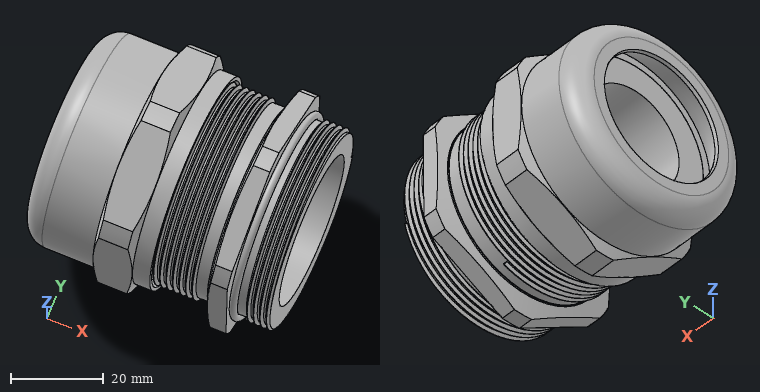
import cadquery as cq
import math

pitch_down = 0.0135
yaw_right = 0.0185

across_flats = 50.2
hex_corner_diameter = 55.3

cap_diameter = 50.0
cap_nose_radius = 5.4
cap_hex_start = 17.4
cap_hex_end = 26.7
cap_end = 30.8
cap_chamfer_angle = 24.0
opening_diameter = 33.2
lip_diameter = 32.78
lip_length = 0.9
cap_cavity_diameter = 45.25
cap_cone_diameter = 44.3
cap_cone_end = 8.85
cap_thread_bore = 48.07

cage_diameter = 45.15
cage_bore = 40.42
seal_diameter = 40.3
seal_bore = 26.26
seal_end = 29.0

body_start = 18.5
body_core_diameter = 45.27
body_socket_diameter = 40.9
body_bore = 35.33
body_end = 58.1
body_hex_start = 43.75
body_hex_end = 48.95
body_chamfer_angle = 15.0
collar_diameter = 45.69
collar_length = 0.35

thread_diameter = 47.0
thread_pitch = 1.52
thread_root_width = 1.2
thread_crest_width = 0.12
thread_root_sink = 0.15
cap_side_thread = (29.86, 40.6, 0)
end_thread = (51.65, 58.3, -60)

ring_section = 1.8


def rod(diameter, start, end):
    return cq.Workplane("YZ", origin=(start, 0, 0)).circle(diameter / 2).extrude(end - start)


def turned(points):
    """Solid of revolution about X from (x, radius) points."""
    return cq.Workplane("XY").polyline(points).close().revolve(360, (0, 0, 0), (1, 0, 0))


def hexagon(start, end):
    """Hexagon with flats on the Y sides and its corners turned down to a cylinder."""
    prism = cq.Workplane("YZ", origin=(start, 0, 0)).polygon(6, across_flats / math.cos(math.pi / 6))
    prism = prism.extrude(end - start).rotate((0, 0, 0), (1, 0, 0), 30)
    return prism.intersect(rod(hex_corner_diameter, start, end))


def chamfer_depth(inner_diameter, angle):
    return (hex_corner_diameter - inner_diameter) / 2 * math.tan(math.radians(angle))


def chamfer_cone(inner_diameter, angle, start, end, chamfer_end):
    """Envelope that chamfers a hexagon's corners at its start and, if asked, at its end."""
    depth = chamfer_depth(inner_diameter, angle)
    corner = hex_corner_diameter / 2
    end_points = [(end, corner)]
    if chamfer_end:
        end_points = [(end - depth, corner), (end, inner_diameter / 2)]
    return turned([(start, 0), (start, inner_diameter / 2), (start + depth, corner), *end_points, (end, 0)])


def thread_ridge(first, last, start_angle):
    """Right-hand helical ridge with its root sunk into the body core, cut off at the body's end."""
    root = body_core_diameter / 2 - thread_root_sink
    crest = thread_diameter / 2
    helix = cq.Wire.makeHelix(thread_pitch, last - first, root)
    half_root = thread_root_width / 2
    half_crest = thread_crest_width / 2
    profile = [(root, -half_root), (crest, -half_crest), (crest, half_crest), (root, half_root)]
    ridge = cq.Workplane("XZ").polyline(profile).close().sweep(cq.Workplane(obj=helix), isFrenet=True)
    ridge = ridge.rotate((0, 0, 0), (0, 0, 1), start_angle).rotate((0, 0, 0), (0, 1, 0), 90)
    return ridge.translate((first, 0, 0)).intersect(rod(across_flats, body_start, body_end))


def make_cap():
    shell = rod(cap_diameter, 0, cap_end).faces("<X").edges().fillet(cap_nose_radius)
    nut = hexagon(cap_hex_start, cap_hex_end).intersect(
        chamfer_cone(cap_diameter, cap_chamfer_angle, cap_hex_start, cap_hex_end, True)
    )
    inside = turned([
        (0, 0),
        (0, opening_diameter / 2),
        (lip_length, lip_diameter / 2),
        (cap_cone_end, cap_cone_diameter / 2),
        (cap_cone_end, cap_cavity_diameter / 2),
        (body_start, cap_cavity_diameter / 2),
        (body_start, cap_thread_bore / 2),
        (cap_end, cap_thread_bore / 2),
        (cap_end, 0),
    ])
    return shell.union(nut).cut(inside)


def make_cage():
    return rod(cage_diameter, cap_cone_end, body_start).cut(rod(cage_bore, cap_cone_end, body_start))


def make_seal():
    return rod(seal_diameter, cap_cone_end, seal_end).cut(rod(seal_bore, cap_cone_end, seal_end))


def make_body():
    core = rod(body_core_diameter, body_start, body_end)
    collar = rod(collar_diameter, body_hex_start - collar_length, body_hex_start)
    nut = hexagon(body_hex_start, body_hex_end).intersect(
        chamfer_cone(collar_diameter, body_chamfer_angle, body_hex_start, body_hex_end, False)
    )
    body = core.union(collar).union(nut)
    body = body.cut(rod(body_socket_diameter, body_start, seal_end)).cut(rod(body_bore, seal_end, body_end))
    for first, last, start_angle in (cap_side_thread, end_thread):
        body = body.union(thread_ridge(first, last, start_angle))
    return body


def make_seal_ring():
    ring_radius = (body_core_diameter + ring_section) / 2
    section = cq.Workplane("XY").center(body_hex_end + ring_section / 2, ring_radius).circle(ring_section / 2)
    return section.revolve(360, (0, -ring_radius, 0), (1, -ring_radius, 0))


def tipped(body):
    body = body.rotate((0, 0, 0), (0, 1, 0), math.degrees(pitch_down))
    return body.rotate((0, 0, 0), (0, 0, 1), -math.degrees(yaw_right))


bodies = [make_cap(), make_cage(), make_seal(), make_body(), make_seal_ring()]
result = cq.Compound.makeCompound([tipped(body).val() for body in bodies])